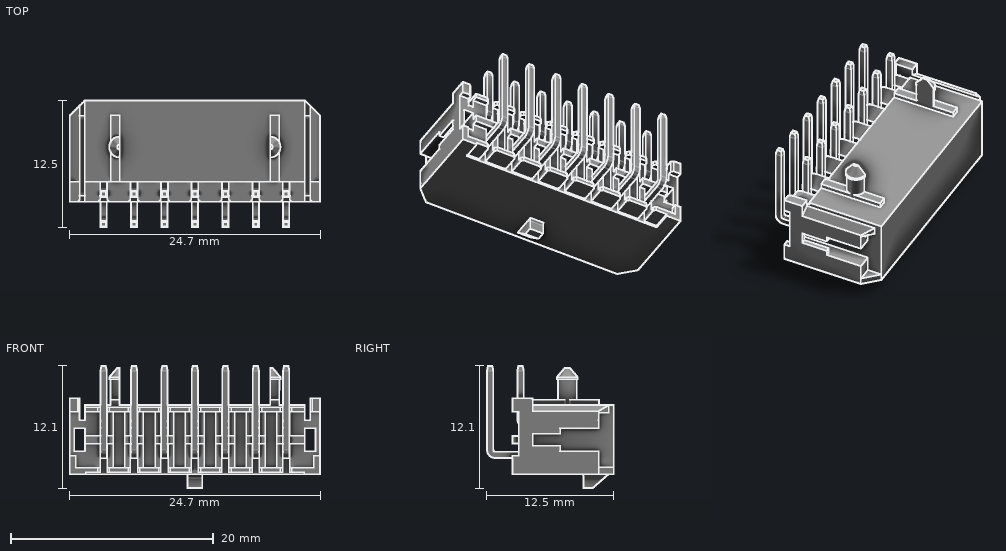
import cadquery as cq
import math


PIN_COUNT = 7
PITCH = 3.0
PIN_SIZE = 0.64
PIN_TIP_SIZE = 0.44
PIN_TIP_LENGTH = 0.46
PIN_TOP = 10.7
BEND_INNER_RADIUS = 0.2
BEND_OUTER_RADIUS = BEND_INNER_RADIUS + PIN_SIZE
FRONT_PIN_Y = -2.2
FRONT_PIN_Z = 1.92
REAR_PIN_Y = FRONT_PIN_Y + PITCH
REAR_PIN_Z = FRONT_PIN_Z + PITCH
PIN_EMBED = 0.5
PIN_XS = [(i - (PIN_COUNT - 1) / 2) * PITCH for i in range(PIN_COUNT)]

HALF_LENGTH = 24.7 / 2
CORE_HALF = 10.85
BACK_Y = 10.0
ROOF_FRONT_Y = 2.0
FACE_Y = 0.6
ROOF_Z = 6.86
FLOOR_STEP_HALF = 10.77

GUIDE_THICKNESS = 0.46
UPPER_GUIDE_Z = 6.17
LOWER_GUIDE_Z = 0.21
UPPER_GUIDE_TOP = UPPER_GUIDE_Z + GUIDE_THICKNESS
LOWER_GUIDE_TOP = LOWER_GUIDE_Z + GUIDE_THICKNESS
PIN_SLOT_WIDTH = 0.7
SLOT_MOUTH_CHAMFER = 0.22
GROOVE_WIDTH = 1.14
GROOVE_BACK_Y = 1.15
BAR_Z = 3.03
BAR_HEIGHT = 0.76

CORNER_CHAMFER = HALF_LENGTH - CORE_HALF
WALL_END_Y = BACK_Y - CORNER_CHAMFER
SHOULDER_LOW_Z = 6.24
SHOULDER_HIGH_Z = 6.83
LEDGE_BOTTOM_Z = 6.08
BASE_LEDGE_Z = 0.7
SLOT_OUTER_X = 11.35
SLOT_FLOOR_Z = 5.34
CHANNEL_OUTER_X = 11.88
CHANNEL_Z = 2.3
CHANNEL_HEIGHT = 2.24
NOTCH_WIDE_FRONT_Y = 4.7
NOTCH_NARROW_HEIGHT = 1.2
EAR_TOP_Z = 7.52
FOOT_INNER_X = 11.73
FOOT_TOP_Z = 1.84

PEG_FLAT_X = 7.41
PEG_Y = 5.41
PEG_RADIUS = 0.93
PEG_COLLAR_RADIUS = 1.03
PEG_TIP_RADIUS = 0.25
PEG_COLLAR_Z = 9.37
PEG_CONE_Z = 9.59
PEG_TOP_Z = 10.5
RIDGE_WIDTH = 0.9
RIDGE_TOP_Z = 7.38
RIDGE_BACK_Y = 8.54

LATCH_WIDTH = 1.48
LATCH_DROP = 1.35
LATCH_FRONT_Y = 7.0
LATCH_TIP_BACK_Y = 7.92
LATCH_ROOT_BACK_Y = 9.46
LATCH_ROOT_HEIGHT = 0.31
LATCH_ROOT_RADIUS = 0.58


def box(x0, x1, y0, y1, z0, z1):
    """Box between two opposite corners."""
    return cq.Workplane("XY").box(x1 - x0, y1 - y0, z1 - z0, centered=False).translate((x0, y0, z0))


def with_mirror(shape):
    """The shape together with its mirror image across X = 0."""
    return shape.union(shape.mirror("YZ"))


def make_core():
    """Main block plus the recessed front slab and its two rows of pin guides."""
    core = box(-CORE_HALF, CORE_HALF, ROOF_FRONT_Y, BACK_Y, 0, ROOF_Z)
    slab = box(-CORE_HALF, CORE_HALF, FACE_Y, ROOF_FRONT_Y, LOWER_GUIDE_Z, UPPER_GUIDE_TOP)
    core = core.union(slab)
    for guide_z in (LOWER_GUIDE_Z, UPPER_GUIDE_Z):
        core = core.union(box(-CORE_HALF, CORE_HALF, 0, FACE_Y, guide_z, guide_z + GUIDE_THICKNESS))
    return core


def make_left_wall():
    """Left side wall: sloped shoulder, mating notch, through channel, ear and foot."""
    profile = [
        (-HALF_LENGTH, 0),
        (-CORE_HALF, 0),
        (-CORE_HALF, SHOULDER_HIGH_Z),
        (-SLOT_OUTER_X, SHOULDER_HIGH_Z),
        (-HALF_LENGTH, SHOULDER_LOW_Z),
    ]
    wall = cq.Workplane("XZ").polyline(profile).close().extrude(ROOF_FRONT_Y - BACK_Y)
    wall = wall.translate((0, ROOF_FRONT_Y, 0))
    wall = wall.union(box(-HALF_LENGTH, -CORE_HALF, FACE_Y, ROOF_FRONT_Y, 0, UPPER_GUIDE_Z))

    ear = box(-HALF_LENGTH, -SLOT_OUTER_X, 0, ROOF_FRONT_Y, UPPER_GUIDE_Z, EAR_TOP_Z)
    ear = ear.edges("|Z and >X and <Y").chamfer(SLOT_MOUTH_CHAMFER)
    foot = box(-HALF_LENGTH, -FOOT_INNER_X, 0, FACE_Y, 0, FOOT_TOP_Z)
    base = box(-HALF_LENGTH, -FLOOR_STEP_HALF, 0, ROOF_FRONT_Y, 0, LOWER_GUIDE_TOP)
    wall = wall.union(ear).union(foot).union(base)

    channel_top = CHANNEL_Z + CHANNEL_HEIGHT
    channel_mid = CHANNEL_Z + CHANNEL_HEIGHT / 2
    narrow_half = NOTCH_NARROW_HEIGHT / 2
    wall = wall.cut(box(-SLOT_OUTER_X, -CORE_HALF, 0, BACK_Y, SLOT_FLOOR_Z, EAR_TOP_Z))
    wall = wall.cut(box(-CHANNEL_OUTER_X, -CORE_HALF, 0, BACK_Y, CHANNEL_Z, channel_top))

    wall = wall.cut(box(-HALF_LENGTH, -CORE_HALF, NOTCH_WIDE_FRONT_Y, BACK_Y, CHANNEL_Z, channel_top))
    wall = wall.cut(box(-HALF_LENGTH, -CORE_HALF, ROOF_FRONT_Y, BACK_Y,
                        channel_mid - narrow_half, channel_mid + narrow_half))
    wall = wall.cut(box(-HALF_LENGTH, -CORE_HALF, WALL_END_Y, BACK_Y, BASE_LEDGE_Z, LEDGE_BOTTOM_Z))

    corner = [(-HALF_LENGTH, BACK_Y), (-CORE_HALF, BACK_Y), (-HALF_LENGTH, WALL_END_Y)]
    return wall.cut(cq.Workplane("XY").polyline(corner).close().extrude(EAR_TOP_Z))


def make_pin_slot(pin_x):
    """Vertical pin slot with a chamfered mouth, cut through the full height."""
    half = PIN_SLOT_WIDTH / 2
    mouth_half = half + SLOT_MOUTH_CHAMFER
    outline = [
        (-mouth_half, 0),
        (mouth_half, 0),
        (half, SLOT_MOUTH_CHAMFER),
        (half, ROOF_FRONT_Y),
        (-half, ROOF_FRONT_Y),
        (-half, SLOT_MOUTH_CHAMFER),
    ]
    return cq.Workplane("XY").polyline(outline).close().extrude(ROOF_Z).translate((pin_x, 0, 0))


def make_groove(pin_x):
    """Vertical groove in the front face, midway between this pin and the next."""
    left = pin_x + (PITCH - GROOVE_WIDTH) / 2
    return box(left, left + GROOVE_WIDTH, 0, GROOVE_BACK_Y, LOWER_GUIDE_TOP, UPPER_GUIDE_Z)


def make_pin(pin_x, row_y, leg_z):
    """L-shaped square pin: buried leg, rounded bend and upright with a tapered tip."""
    half = PIN_SIZE / 2
    front = row_y - half
    rear = row_y + half
    bottom = leg_z - half
    top = leg_z + half
    leg_end = ROOF_FRONT_Y + PIN_EMBED
    shaft_top = PIN_TOP - PIN_TIP_LENGTH
    arc_centre_y = front + BEND_OUTER_RADIUS
    arc_centre_z = bottom + BEND_OUTER_RADIUS
    diagonal = math.sqrt(0.5)
    outer_mid = BEND_OUTER_RADIUS * diagonal
    inner_mid = BEND_INNER_RADIUS * diagonal
    pin = (
        cq.Workplane("YZ")
        .moveTo(leg_end, bottom)
        .lineTo(arc_centre_y, bottom)
        .threePointArc((arc_centre_y - outer_mid, arc_centre_z - outer_mid), (front, arc_centre_z))
        .lineTo(front, shaft_top)
        .lineTo(rear, shaft_top)
        .lineTo(rear, arc_centre_z)
        .threePointArc((arc_centre_y - inner_mid, arc_centre_z - inner_mid), (arc_centre_y, top))
        .lineTo(leg_end, top)
        .close()
        .extrude(half, both=True)
    )
    tip = (
        cq.Workplane("XY", origin=(0, row_y, shaft_top))
        .rect(PIN_SIZE, PIN_SIZE)
        .workplane(offset=PIN_TIP_LENGTH)
        .rect(PIN_TIP_SIZE, PIN_TIP_SIZE)
        .loft(ruled=True)
    )
    return pin.union(tip).translate((pin_x, 0, 0))


def make_left_peg():
    """Half-round board peg, flat on its inner side, standing in a roof ridge."""
    profile = [
        (0, ROOF_Z),
        (PEG_RADIUS, ROOF_Z),
        (PEG_RADIUS, PEG_COLLAR_Z),
        (PEG_COLLAR_RADIUS, PEG_COLLAR_Z),
        (PEG_COLLAR_RADIUS, PEG_CONE_Z),
        (PEG_TIP_RADIUS, PEG_TOP_Z),
        (0, PEG_TOP_Z),
    ]
    peg = cq.Workplane("XZ").polyline(profile).close().revolve(360, (0, 0), (0, 1))
    inner_half = box(0, PEG_COLLAR_RADIUS, -PEG_COLLAR_RADIUS, PEG_COLLAR_RADIUS, ROOF_Z, PEG_TOP_Z)
    peg = peg.cut(inner_half).translate((-PEG_FLAT_X, PEG_Y, 0))
    ridge = box(-PEG_FLAT_X - RIDGE_WIDTH, -PEG_FLAT_X, ROOF_FRONT_Y, RIDGE_BACK_Y, ROOF_Z, RIDGE_TOP_Z)
    return peg.union(ridge)


def make_latch():
    """Ramped latch under the floor with a flared root on its upright face."""
    def flare(height):
        return LATCH_ROOT_RADIUS - math.sqrt(LATCH_ROOT_RADIUS**2 - height**2)

    mid_height = LATCH_ROOT_HEIGHT / 2
    return (
        cq.Workplane("YZ")
        .moveTo(LATCH_ROOT_BACK_Y, 0)
        .lineTo(LATCH_TIP_BACK_Y, -LATCH_DROP)
        .lineTo(LATCH_FRONT_Y, -LATCH_DROP)
        .lineTo(LATCH_FRONT_Y, -LATCH_ROOT_HEIGHT)
        .threePointArc(
            (LATCH_FRONT_Y - flare(mid_height), mid_height - LATCH_ROOT_HEIGHT),
            (LATCH_FRONT_Y - flare(LATCH_ROOT_HEIGHT), 0),
        )
        .close()
        .extrude(LATCH_WIDTH / 2, both=True)
    )


housing = make_core().union(with_mirror(make_left_wall()))
for x in PIN_XS:
    housing = housing.cut(make_pin_slot(x))

housing = housing.union(box(-CORE_HALF, CORE_HALF, 0, ROOF_FRONT_Y, BAR_Z, BAR_Z + BAR_HEIGHT))
for x in PIN_XS[:-1]:
    housing = housing.cut(make_groove(x))

result = housing.union(with_mirror(make_left_peg())).union(make_latch())
for x in PIN_XS:
    result = result.union(make_pin(x, FRONT_PIN_Y, FRONT_PIN_Z))
    result = result.union(make_pin(x, REAR_PIN_Y, REAR_PIN_Z))